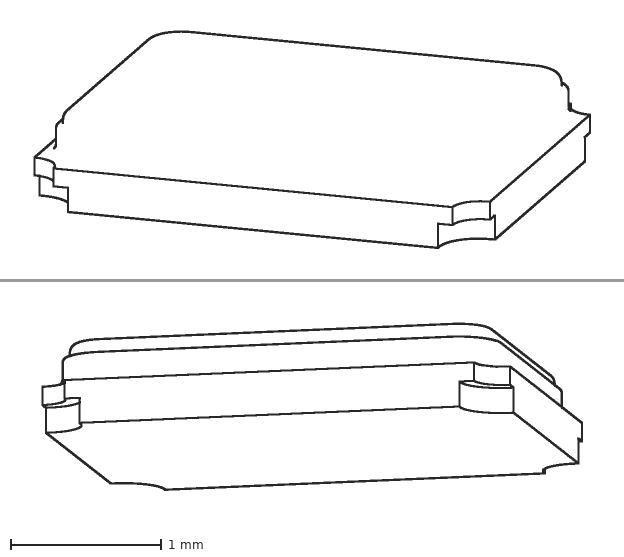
import cadquery as cq

length = 3.2
width = 2.5
base_height = 0.295
total_height = 0.6

terminal_height = 0.17
upper_notch_radius = 0.2
lower_notch_reach = 0.3
lower_notch_offset = 0.025

frame_inset = 0.1
frame_corner_radius = 0.298
frame_top = 0.5
frame_foot_fillet = 0.075
frame_edge_fillet = 0.022
lid_inset = 0.147
lid_foot_fillet = 0.022
lid_edge_fillet = 0.06


def rounded_slab(inset, bottom, top):
    """Slab inset from the base outline; all slabs share their corner centres."""
    corner_radius = frame_corner_radius + frame_inset - inset
    return (
        cq.Workplane("XY", origin=(0, 0, bottom))
        .rect(length - 2 * inset, width - 2 * inset)
        .extrude(top - bottom)
        .edges("|Z")
        .fillet(corner_radius)
    )


def fillet_foot(body, inset, height, radius):
    """Fillet the inner edge loop where a slab meets the ledge below it."""
    margin = 0.003
    half_x = length / 2 - inset + margin
    half_y = width / 2 - inset + margin
    foot_edges = cq.selectors.BoxSelector(
        (-half_x, -half_y, height - margin),
        (half_x, half_y, height + margin),
        boundingbox=True,
    )
    return body.edges(foot_edges).fillet(radius)


def lower_notch(corner_x, corner_y):
    """Round notch with short straight lead-ins, centred just inside the corner."""
    radius = lower_notch_reach - lower_notch_offset
    inward_x = -1 if corner_x > 0 else 1
    inward_y = -1 if corner_y > 0 else 1
    center_x = corner_x + inward_x * lower_notch_offset
    center_y = corner_y + inward_y * lower_notch_offset
    notch = cq.Workplane("XY").center(center_x, center_y).circle(radius).extrude(terminal_height)
    lead_in_x = (
        cq.Workplane("XY")
        .center(corner_x, corner_y)
        .rect(2 * lower_notch_reach, 2 * lower_notch_offset)
        .extrude(terminal_height)
    )
    lead_in_y = (
        cq.Workplane("XY")
        .center(corner_x, corner_y)
        .rect(2 * lower_notch_offset, 2 * lower_notch_reach)
        .extrude(terminal_height)
    )
    return notch.union(lead_in_x).union(lead_in_y)


base = cq.Workplane("XY").box(length, width, base_height, centered=(True, True, False))
frame = rounded_slab(frame_inset, base_height, frame_top)
frame = frame.faces(">Z").edges().fillet(frame_edge_fillet)
lid = rounded_slab(lid_inset, frame_top, total_height)
lid = lid.faces(">Z").edges().fillet(lid_edge_fillet)

result = base.union(frame).union(lid)
result = fillet_foot(result, frame_inset, base_height, frame_foot_fillet)
result = fillet_foot(result, lid_inset, frame_top, lid_foot_fillet)

upper_notches = (
    cq.Workplane("XY")
    .rect(length, width, forConstruction=True)
    .vertices()
    .circle(upper_notch_radius)
    .extrude(base_height + frame_foot_fillet)
)
result = result.cut(upper_notches)

for corner_x in (-length / 2, length / 2):
    for corner_y in (-width / 2, width / 2):
        result = result.cut(lower_notch(corner_x, corner_y))